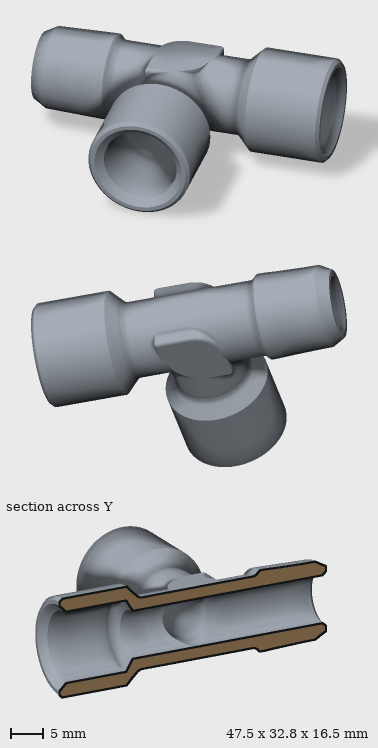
import cadquery as cq
import math


overall_length = 47.5
female_length = 24.5
male_length = overall_length - female_length
pipe_radius = 6.0
bore_radius = 3.95
root_fillet = 1.0
crotch_fillet = 1.9

socket_radius = 16.5 / 2
socket_start = 12.55
rim_chamfer = 0.5
thread_radius = 5.9
thread_depth = 11.88
mouth_radius = 7.1
drill_half_angle = math.radians(59)

male_tip_radius = 5.4
male_tip_chamfer_length = 1.95
male_small_radius = 6.5
male_large_radius = 6.8
taper_end = 12.0
male_shoulder = 11.15
male_mouth_radius = 4.55

pad_height = pipe_radius
pad_edge = 0.55
pad_corner_round = 0.5
pad_radius = 4.55
pad_reach = 5.6


def revolve_along_x(points):
    """Revolve a closed (x, radius) profile around the X axis."""
    return cq.Workplane("XY").polyline(points).close().revolve(360, (0, 0, 0), (1, 0, 0))


def to_branch(body):
    """Turn a body pointing along +X so that it points along -Y."""
    return body.rotate((0, 0, 0), (0, 0, 1), -90)


def fillet_root(body, distance):
    """Round the circular edge where a shoulder meets the pipe."""
    tolerance = 0.05
    size = socket_radius
    selector = cq.selectors.BoxSelector(
        (distance - tolerance, -size, -size), (distance + tolerance, size, size), boundingbox=True
    )
    return body.edges(selector).fillet(root_fillet)


def female_body():
    root = socket_start - (socket_radius - pipe_radius)
    body = revolve_along_x([
        (0, 0),
        (0, pipe_radius),
        (root, pipe_radius),
        (socket_start, socket_radius),
        (female_length - rim_chamfer, socket_radius),
        (female_length, socket_radius - rim_chamfer),
        (female_length, 0),
    ])
    return fillet_root(body, root)


def female_bore():
    thread_end = female_length - thread_depth
    cone_length = (thread_radius - bore_radius) / math.tan(drill_half_angle)
    mouth_depth = mouth_radius - thread_radius
    return revolve_along_x([
        (0, 0),
        (0, bore_radius),
        (thread_end - cone_length, bore_radius),
        (thread_end, thread_radius),
        (female_length - mouth_depth, thread_radius),
        (female_length, mouth_radius),
        (female_length, 0),
    ])


def male_body():
    root = male_shoulder - (male_large_radius - pipe_radius)
    body = revolve_along_x([
        (0, 0),
        (0, pipe_radius),
        (-root, pipe_radius),
        (-male_shoulder, male_large_radius),
        (-taper_end, male_large_radius),
        (-male_length + male_tip_chamfer_length, male_small_radius),
        (-male_length, male_tip_radius),
        (-male_length, 0),
    ])
    return fillet_root(body, -root)


def male_bore():
    mouth_depth = male_mouth_radius - bore_radius
    return revolve_along_x([
        (0, 0),
        (0, bore_radius),
        (-male_length + mouth_depth, bore_radius),
        (-male_length, male_mouth_radius),
        (-male_length, 0),
    ])


def top_pad():
    """Pad with two round and two square corners; its edge is rounded except beside the crotch."""
    diagonal = pad_radius * math.sqrt(0.5)
    pad = (
        cq.Workplane("XY")
        .moveTo(0, pad_radius)
        .lineTo(pad_reach, pad_radius)
        .lineTo(pad_reach, 0)
        .lineTo(pad_radius, 0)
        .threePointArc((diagonal, -diagonal), (0, -pad_radius))
        .lineTo(0, -pad_reach)
        .lineTo(-pad_radius, -pad_reach)
        .lineTo(-pad_radius, 0)
        .threePointArc((-diagonal, diagonal), (0, pad_radius))
        .close()
        .extrude(pad_height)
    )
    square_corners = [(pad_reach, pad_radius), (-pad_radius, -pad_reach)]
    for x, y in square_corners:
        corner = cq.selectors.NearestToPointSelector((x, y, pad_height / 2))
        pad = pad.edges(corner).fillet(pad_corner_round)
    rounded_sides = [
        (pad_reach / 2, pad_radius),
        (pad_reach, pad_radius / 2),
        (-pad_radius, -pad_reach / 2),
        (-pad_radius / 2, -pad_reach),
        (-diagonal, diagonal),
    ]
    rim = cq.Workplane("XY")
    for x, y in rounded_sides:
        rim = rim.add(pad.edges(cq.selectors.NearestToPointSelector((x, y, pad_height))))
    return pad.newObject([pad.val().fillet(pad_edge, rim.vals())])


def crotch_edges(body):
    """Elliptical edges outside the pads where the run and branch pipes meet."""
    mitre_tolerance = 0.005
    def on_crotch(edge):
        middle = edge.positionAt(0.5)
        on_mitre = math.isclose(abs(middle.x), -middle.y, abs_tol=mitre_tolerance)
        return on_mitre and edge.geomType() == "ELLIPSE"
    return [edge for edge in body.edges().vals() if on_crotch(edge)]


pad = top_pad()
body = female_body().union(male_body()).union(to_branch(female_body()))
body = body.union(pad).union(pad.mirror("XY"))
body = body.newObject([body.solids().val().fillet(crotch_fillet, crotch_edges(body))])

bores = female_bore().union(male_bore()).union(to_branch(female_bore()))
result = body.cut(bores)